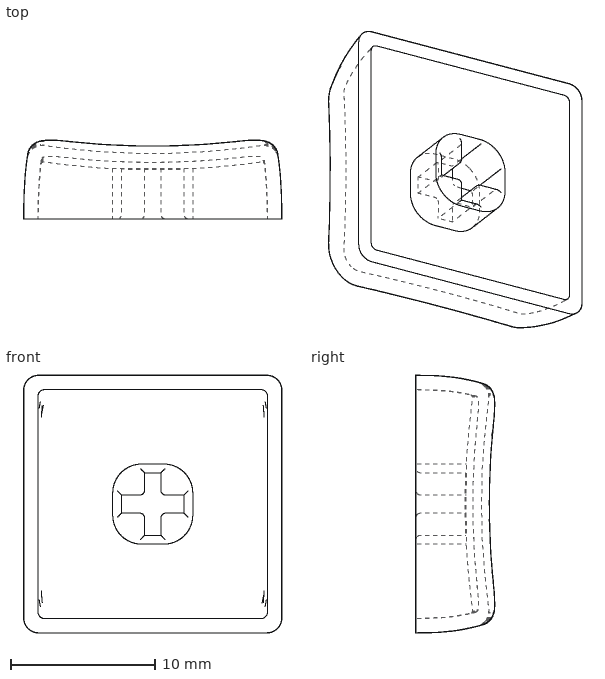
import cadquery as cq

WIDTH = 17.89
DEPTH = 17.85
WALL = 1.0
TOP_THICKNESS = 1.13
DISH_RADIUS = 51.88
DISH_BOTTOM = 4.55

LEAN_HEIGHT = 4.65
LEAN_X = 0.3
LEAN_Z = 0.57
WALL_POWER = 2.5
LOFT_HEIGHT = 6.44
LOFT_STEPS = 4
OUTER_CORNER = 1.05
OUTER_CORNER_TOP = (2.4, 2.9)
INNER_CORNER = 0.45
INNER_CORNER_TOP = (1.41, 1.61)
TOP_FILLET = 1.04
FLOOR_FILLET = 0.21

STEM_SIZE = 5.55
STEM_CORNER = 2.0
CROSS_SPAN = 4.33
CROSS_ARM_X = 1.25
CROSS_ARM_Z = 1.13
CROSS_FILLET = 0.34

SELECT_MARGIN = 0.04
QUARTER_ARC = 0.5523


def section(plane, half_x, half_z, corner_x, corner_z):
    """Rectangle with quarter-elliptical corners, centred on the workplane."""
    flat_x = half_x - corner_x
    flat_z = half_z - corner_z
    handle_x = flat_x + QUARTER_ARC * corner_x
    handle_z = flat_z + QUARTER_ARC * corner_z
    return (
        plane.moveTo(half_x, -flat_z)
        .lineTo(half_x, flat_z)
        .bezier([(half_x, flat_z), (half_x, handle_z), (handle_x, half_z), (flat_x, half_z)])
        .lineTo(-flat_x, half_z)
        .bezier([(-flat_x, half_z), (-handle_x, half_z), (-half_x, handle_z), (-half_x, flat_z)])
        .lineTo(-half_x, -flat_z)
        .bezier([(-half_x, -flat_z), (-half_x, -handle_z), (-handle_x, -half_z), (-flat_x, -half_z)])
        .lineTo(flat_x, -half_z)
        .bezier([(flat_x, -half_z), (handle_x, -half_z), (half_x, -handle_z), (half_x, -flat_z)])
        .close()
    )


def dished_block(inset, drop, corner, corner_top, edge_fillet):
    """Solid between leaning walls moved in by inset and a dish moved down by drop."""
    step = LOFT_HEIGHT / LOFT_STEPS
    plane = cq.Workplane("XZ")
    for index in range(LOFT_STEPS + 1):
        rise = index * step / LEAN_HEIGHT
        plane = section(
            plane,
            WIDTH / 2 - inset - LEAN_X * rise**WALL_POWER,
            DEPTH / 2 - inset - LEAN_Z * rise**WALL_POWER,
            corner + (corner_top[0] - corner) * rise,
            corner + (corner_top[1] - corner) * rise,
        )
        if index < LOFT_STEPS:
            plane = plane.workplane(offset=-step)
    block = plane.loft(combine=True)
    dish_radius = DISH_RADIUS + drop
    dish_centre = DISH_BOTTOM + DISH_RADIUS
    dish = cq.Workplane("XY").sphere(dish_radius).translate((0, dish_centre, 0))
    return block.cut(dish).faces("%SPHERE").edges().fillet(edge_fillet)


def cross_socket(length):
    """Plain cross-shaped cutter running along +Y."""
    arm_x = cq.Workplane("XZ").rect(CROSS_SPAN, CROSS_ARM_X).extrude(-length)
    arm_z = cq.Workplane("XZ").rect(CROSS_ARM_Z, CROSS_SPAN).extrude(-length)
    return arm_x.union(arm_z)


def make_stem(cavity):
    """Socketed stem reaching from the rim plane to the cavity floor."""
    blank = cq.Workplane("XZ").rect(STEM_SIZE, STEM_SIZE).extrude(-LOFT_HEIGHT)
    stem = blank.cut(cross_socket(LOFT_HEIGHT))
    post = cq.selectors.BoxSelector(
        (-CROSS_ARM_X, 0, -CROSS_ARM_X), (CROSS_ARM_X, LOFT_HEIGHT, CROSS_ARM_X)
    )
    mouth_reach = CROSS_SPAN / 2 + SELECT_MARGIN
    mouth = cq.selectors.BoxSelector(
        (-mouth_reach, -CROSS_FILLET, -mouth_reach), (mouth_reach, CROSS_FILLET, mouth_reach)
    )
    stem = stem.edges("|Y").edges(post).fillet(CROSS_FILLET)
    stem = stem.faces("<Y").edges(mouth).fillet(CROSS_FILLET)
    corners = stem.edges("|Y").edges("<X or >X")
    stem = corners.fillet(STEM_CORNER)
    return stem.intersect(cavity)


outer = dished_block(0, 0, OUTER_CORNER, OUTER_CORNER_TOP, TOP_FILLET)
cavity = dished_block(WALL, TOP_THICKNESS, INNER_CORNER, INNER_CORNER_TOP, FLOOR_FILLET)
result = outer.cut(cavity).union(make_stem(cavity))